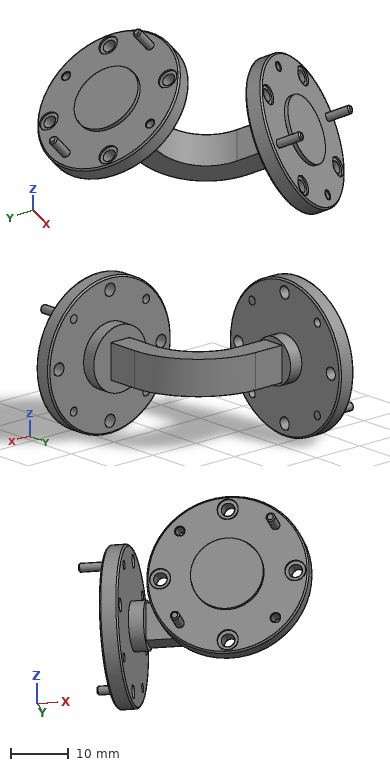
import cadquery as cq
import math


DISC_DIAMETER = 28.58
DISC_THICKNESS = 3.25
DISC_CHAMFER = 0.3
DISC_FACE_DISTANCE = 24.6

CONTACT_DIAMETER = 12.8
CONTACT_HEIGHT = 0.7
COLLAR_LENGTH = 2.6
X_COLLAR_DIAMETER = 8.85
Y_COLLAR_DIAMETER = 12.3

HOLE_CIRCLE_RADIUS = 11.9
SCREW_HOLE_DIAMETER = 2.35
SCREW_RECESS_DIAMETER = 3.65
SCREW_RECESS_DEPTH = 0.35
DOWEL_HOLE_CHAMFER = 0.15
SCREW_ANGLES = (0, 90, 180, 270)
DOWEL_HOLE_ANGLES = (135, 315)
PIN_ANGLES = (45, 225)

PIN_DIAMETER = 1.55
PIN_PROTRUSION = 4.65
PIN_CHAMFER = 0.25

GUIDE_WIDTH = 4.35
GUIDE_HEIGHT = 6.8
GUIDE_BEND_RADIUS = 12.65

X_PORT = cq.Plane(origin=(-DISC_FACE_DISTANCE, 0, 0), xDir=(0, -1, 0), normal=(-1, 0, 0))
Y_PORT = cq.Plane(origin=(0, -DISC_FACE_DISTANCE, 0), xDir=(1, 0, 0), normal=(0, -1, 0))


def circle_points(angles):
    """Points on the hole circle at the given angles in degrees."""
    return [
        (
            HOLE_CIRCLE_RADIUS * math.cos(math.radians(angle)),
            HOLE_CIRCLE_RADIUS * math.sin(math.radians(angle)),
        )
        for angle in angles
    ]


def make_flange(port, collar_diameter):
    """Chamfered disc with a contact face, a rear collar and its eight holes."""
    disc = (
        cq.Workplane(port)
        .circle(DISC_DIAMETER / 2)
        .extrude(-DISC_THICKNESS)
        .edges()
        .chamfer(DISC_CHAMFER)
    )
    contact = cq.Workplane(port).circle(CONTACT_DIAMETER / 2).extrude(CONTACT_HEIGHT)
    collar = (
        cq.Workplane(port)
        .workplane(offset=-DISC_THICKNESS)
        .circle(collar_diameter / 2)
        .extrude(-COLLAR_LENGTH)
    )

    screw_holes = (
        cq.Workplane(port)
        .pushPoints(circle_points(SCREW_ANGLES))
        .circle(SCREW_HOLE_DIAMETER / 2)
        .extrude(-DISC_THICKNESS)
    )
    screw_recesses = (
        cq.Workplane(port)
        .pushPoints(circle_points(SCREW_ANGLES))
        .circle(SCREW_RECESS_DIAMETER / 2)
        .extrude(-SCREW_RECESS_DEPTH)
    )
    dowel_holes = (
        cq.Workplane(port)
        .pushPoints(circle_points(DOWEL_HOLE_ANGLES + PIN_ANGLES))
        .circle(PIN_DIAMETER / 2)
        .extrude(-DISC_THICKNESS)
    )
    lead_ins = (
        cq.Workplane(port)
        .pushPoints(circle_points(DOWEL_HOLE_ANGLES))
        .circle(PIN_DIAMETER / 2 + DOWEL_HOLE_CHAMFER)
        .extrude(-DOWEL_HOLE_CHAMFER, taper=45)
    )
    drilled_disc = disc.cut(screw_holes).cut(screw_recesses).cut(dowel_holes).cut(lead_ins)
    return drilled_disc.union(contact).union(collar)


def make_guide():
    """Rectangular bar from one disc to the other through a 90-degree bend."""
    guide_end = DISC_FACE_DISTANCE - DISC_THICKNESS
    bend_middle = GUIDE_BEND_RADIUS * (1 - math.sqrt(0.5))
    path = (
        cq.Workplane("XY")
        .moveTo(-guide_end, 0)
        .lineTo(-GUIDE_BEND_RADIUS, 0)
        .threePointArc((-bend_middle, -bend_middle), (0, -GUIDE_BEND_RADIUS))
        .lineTo(0, -guide_end)
    )
    return (
        cq.Workplane("YZ", origin=(-guide_end, 0, 0))
        .rect(GUIDE_WIDTH, GUIDE_HEIGHT)
        .sweep(path)
    )


def make_pin(port, center):
    """Dowel pin, flush with the rear of the disc and chamfered at its free end."""
    return (
        cq.Workplane(port)
        .workplane(offset=-DISC_THICKNESS)
        .center(*center)
        .circle(PIN_DIAMETER / 2)
        .extrude(DISC_THICKNESS + PIN_PROTRUSION)
        .faces(cq.selectors.DirectionMinMaxSelector(port.zDir))
        .chamfer(PIN_CHAMFER)
    )


x_flange = make_flange(X_PORT, X_COLLAR_DIAMETER)
y_flange = make_flange(Y_PORT, Y_COLLAR_DIAMETER)
housing = make_guide().union(x_flange).union(y_flange)

pins = []
for port in (X_PORT, Y_PORT):
    for center in circle_points(PIN_ANGLES):
        pins.append(make_pin(port, center).val())

result = cq.Compound.makeCompound([housing.val(), *pins])